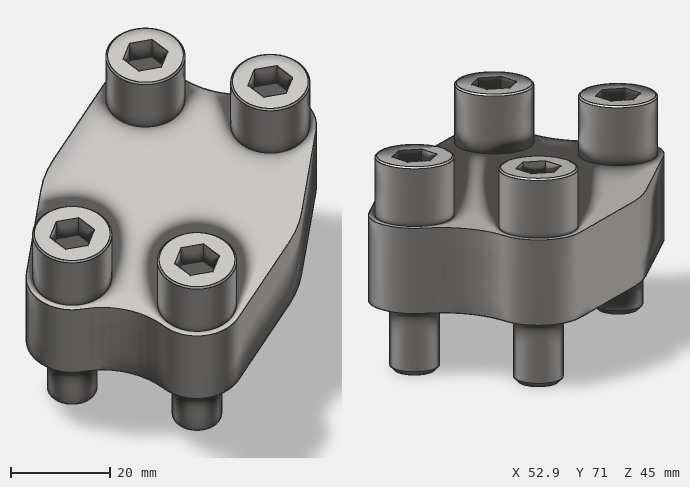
import cadquery as cq
import math

side_radius = 26.45
corner_radius = 9.3
waist_radius = 17.3
plate_length = 71.0
plate_height = 17.95

bolt_x = 13.1
bolt_y = plate_length / 2 - corner_radius
head_diameter = 16.0
head_height = 12.5
head_chamfer = 0.35
shank_diameter = 10.0
shank_length = 14.55
tip_chamfer = 1.0
socket_flats = 8.0
socket_depth = 5.0

corner_distance = math.hypot(bolt_x, bolt_y)
corner_angle = math.atan2(bolt_y, bolt_x)
side_angle = corner_angle - math.acos((side_radius - corner_radius) / corner_distance)

center_distance = waist_radius + corner_radius
waist_center_y = bolt_y + math.sqrt(center_distance**2 - bolt_x**2)
waist_angle = math.acos(-bolt_x / center_distance)


def corner_point(angle):
    """Point on the +X +Y corner arc."""
    return (
        bolt_x + corner_radius * math.cos(angle),
        bolt_y + corner_radius * math.sin(angle),
    )


def mirror_x(point):
    return (-point[0], point[1])


def mirror_y(point):
    return (point[0], -point[1])


def opposite(point):
    return (-point[0], -point[1])


def make_plate():
    side_end = (side_radius * math.cos(side_angle), side_radius * math.sin(side_angle))
    corner_start = corner_point(side_angle)
    corner_middle = corner_point((side_angle + waist_angle) / 2)
    corner_end = corner_point(waist_angle)
    waist_middle = (0, waist_center_y - waist_radius)
    return (
        cq.Workplane("XY")
        .moveTo(*mirror_y(side_end))
        .threePointArc((side_radius, 0), side_end)
        .lineTo(*corner_start)
        .threePointArc(corner_middle, corner_end)
        .threePointArc(waist_middle, mirror_x(corner_end))
        .threePointArc(mirror_x(corner_middle), mirror_x(corner_start))
        .lineTo(*mirror_x(side_end))
        .threePointArc((-side_radius, 0), opposite(side_end))
        .lineTo(*opposite(corner_start))
        .threePointArc(opposite(corner_middle), opposite(corner_end))
        .threePointArc(mirror_y(waist_middle), mirror_y(corner_end))
        .threePointArc(mirror_y(corner_middle), mirror_y(corner_start))
        .close()
        .extrude(plate_height)
    )


def make_bolt():
    """Socket head bolt on the Z axis, with its head resting on the plate top."""
    head_top = plate_height + head_height
    head = (
        cq.Workplane("XY", origin=(0, 0, plate_height))
        .circle(head_diameter / 2)
        .extrude(head_height)
        .faces(">Z").edges().chamfer(head_chamfer)
    )
    shank = (
        cq.Workplane("XY", origin=(0, 0, -shank_length))
        .circle(shank_diameter / 2)
        .extrude(shank_length + plate_height)
        .faces("<Z").edges().chamfer(tip_chamfer)
    )
    socket = (
        cq.Workplane("XY", origin=(0, 0, head_top - socket_depth))
        .polygon(6, socket_flats, circumscribed=True)
        .extrude(socket_depth)
    )
    return head.union(shank).cut(socket)


result = make_plate()
bolt = make_bolt()
for x in (-bolt_x, bolt_x):
    for y in (-bolt_y, bolt_y):
        result = result.union(bolt.translate((x, y, 0)))